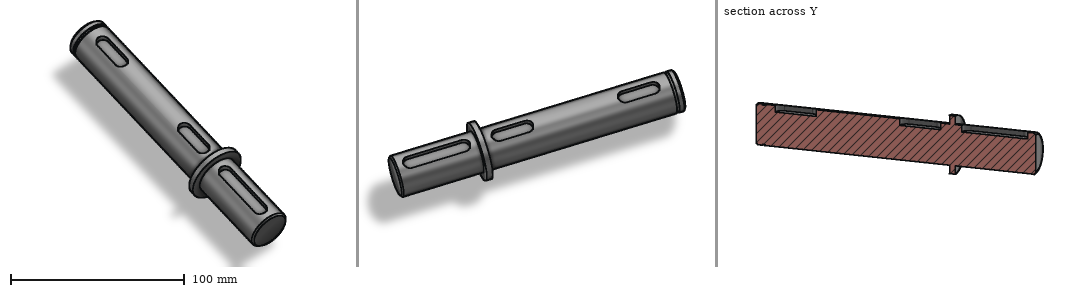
import cadquery as cq

length = 173.0
shaft_diameter = 24.9
end_chamfer = 1.0
left_end = -length / 2

collar_diameter = 35.0
collar_start = 119.5
collar_width = 3.6

groove_diameter = 23.9
groove_start = 3.8
groove_width = 1.5

key_width = 8.0
key_depth = 4.0
short_key_length = 25.0
long_key_length = 40.7
keyways = [
    (12.0, short_key_length),
    (89.0, short_key_length),
    (127.3, long_key_length),
]


def cylinder(start, width, diameter):
    """Cylinder coaxial with the shaft, starting at a distance from its left end."""
    return (
        cq.Workplane("YZ")
        .workplane(offset=left_end + start)
        .circle(diameter / 2)
        .extrude(width)
    )


def keyway(start, slot_length):
    """Cutter for one keyway, from its floor up to the top of the shaft."""
    return (
        cq.Workplane("XY")
        .workplane(offset=shaft_diameter / 2 - key_depth)
        .center(left_end + start + slot_length / 2, 0)
        .slot2D(slot_length, key_width)
        .extrude(key_depth)
    )


shaft = cylinder(0, length, shaft_diameter).edges("%CIRCLE").chamfer(end_chamfer)
shaft = shaft.union(cylinder(collar_start, collar_width, collar_diameter))

groove = cylinder(groove_start, groove_width, shaft_diameter)
groove = groove.cut(cylinder(groove_start, groove_width, groove_diameter))
shaft = shaft.cut(groove)

for key_start, key_length in keyways:
    shaft = shaft.cut(keyway(key_start, key_length))

result = shaft